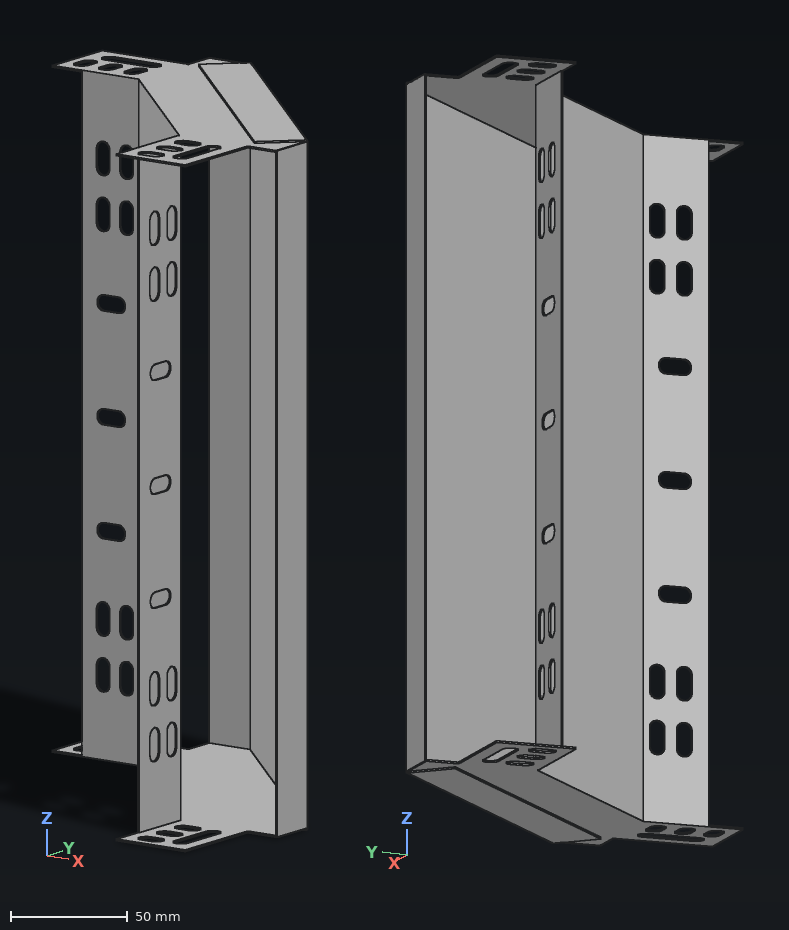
import cadquery as cq
import math

SHEET = 0.75
HEIGHT = 303.2
SPAN = 176.2
BEND = 42.5
TAB_INNER = 36.0
TAB_OUTER = 72.5
FLANGE_LENGTH = 30.0
COVER_CORNER = 20.3
LIP_DEPTH = 23.0
LIP_RISE = 0.05

SLOT_WIDTH = 7.0
LONG_SLOT_LENGTH = 30.0
LONG_SLOT_X = -65.0
LONG_SLOT_Y = 62.0
SHORT_SLOT_LENGTH = 12.0
SHORT_SLOT_MIDDLE_X = -66.0
SHORT_SLOT_PITCH = 13.3
SHORT_SLOT_Y = 48.2
FLANGE_SLOT_LENGTH = 15.0
UPRIGHT_SLOT_XS = (-61.2, -48.8)
UPRIGHT_SLOT_ZS = (88.8, 113.5)
CROSS_SLOT_X = -57.0
CROSS_SLOT_PITCH = 50.0

HALF_SPAN = SPAN / 2
PLATE_TOP = HEIGHT / 2 - SHEET - LIP_RISE
MITRE = SHEET * math.tan(math.radians(45) / 2)
COVER_INSIDE = HALF_SPAN - SHEET
COVER_INSIDE_CORNER = COVER_CORNER + MITRE
COVER_DISTANCE = (HALF_SPAN - COVER_CORNER) / math.sqrt(2)
LIP_LENGTH = (HALF_SPAN + COVER_CORNER) * math.sqrt(2)

DIAGONAL = (1, -1, 0)


def with_mirror_path(points):
    """Complete an outline whose second half mirrors the first across x = y."""
    return points + [(y, x) for x, y in reversed(points)]


def prism(points, bottom, top):
    """Solid between two heights with the given closed outline."""
    return cq.Workplane("XY").workplane(offset=bottom).polyline(points).close().extrude(top - bottom)


def bent_wall(face, back):
    """Full-height wall between the two faces of a bent sheet."""
    outline = with_mirror_path(face) + with_mirror_path(back)[::-1]
    return prism(outline, -PLATE_TOP, PLATE_TOP)


def inner_wall():
    flange_end = -BEND - FLANGE_LENGTH
    return bent_wall(
        [(flange_end, TAB_INNER), (-BEND, TAB_INNER)],
        [(flange_end, TAB_INNER + SHEET), (-BEND + MITRE, TAB_INNER + SHEET)],
    )


def tabbed_plate(bottom):
    """Plate whose two tabs run past the ends of the cover."""
    inner_edge = with_mirror_path([(-HALF_SPAN, TAB_INNER), (-BEND, TAB_INNER)])
    outer_edge = with_mirror_path([
        (-HALF_SPAN, TAB_OUTER),
        (-BEND, TAB_OUTER),
        (-BEND, COVER_INSIDE),
        (-COVER_INSIDE_CORNER, COVER_INSIDE),
    ])
    return prism(inner_edge + outer_edge[::-1], bottom, bottom + SHEET)


def tab_slots():
    """Cutters for one long and three short slots, through both left tabs."""
    short_centres = [(SHORT_SLOT_MIDDLE_X + i * SHORT_SLOT_PITCH, SHORT_SLOT_Y) for i in (-1, 0, 1)]
    return (
        cq.Workplane("XY")
        .pushPoints([(LONG_SLOT_X, LONG_SLOT_Y)])
        .slot2D(LONG_SLOT_LENGTH, SLOT_WIDTH)
        .pushPoints(short_centres)
        .slot2D(SHORT_SLOT_LENGTH, SLOT_WIDTH, 90)
        .extrude(HEIGHT / 2, both=True)
    )


def flange_slots():
    """Cutters for the upright and crosswise slots of the left flange."""
    upright_centres = [(x, side * z) for x in UPRIGHT_SLOT_XS for z in UPRIGHT_SLOT_ZS for side in (-1, 1)]
    cross_centres = [(CROSS_SLOT_X, i * CROSS_SLOT_PITCH) for i in (-1, 0, 1)]
    return (
        cq.Workplane("XZ", origin=(0, TAB_INNER, 0))
        .pushPoints(upright_centres)
        .slot2D(FLANGE_SLOT_LENGTH, SLOT_WIDTH, 90)
        .pushPoints(cross_centres)
        .slot2D(FLANGE_SLOT_LENGTH, SLOT_WIDTH)
        .extrude(2 * SHEET, both=True)
    )


def make_tray():
    tray = inner_wall()
    for bottom in (-PLATE_TOP, PLATE_TOP - SHEET):
        tray = tray.union(tabbed_plate(bottom))
    for slots in (tab_slots(), flange_slots()):
        tray = tray.cut(slots).cut(slots.mirror(DIAGONAL))
    return tray


def outer_wall():
    return bent_wall(
        [(-BEND, HALF_SPAN), (-COVER_CORNER, HALF_SPAN)],
        [(-BEND, COVER_INSIDE), (-COVER_INSIDE_CORNER, COVER_INSIDE)],
    )


def top_lip():
    """Lip bent in from the sloping wall, rounded outside its bend and rising slightly inwards."""
    root = COVER_DISTANCE - SHEET
    free_edge = COVER_DISTANCE - LIP_DEPTH
    arc_middle = (root + SHEET * math.sqrt(0.5), PLATE_TOP + SHEET * math.sqrt(0.5))
    profile_plane = cq.Plane(origin=(0, 0, 0), xDir=(1, 1, 0), normal=DIAGONAL)
    return (
        cq.Workplane(profile_plane)
        .moveTo(root, PLATE_TOP - SHEET)
        .lineTo(COVER_DISTANCE, PLATE_TOP - SHEET)
        .lineTo(COVER_DISTANCE, PLATE_TOP)
        .threePointArc(arc_middle, (root, PLATE_TOP + SHEET))
        .lineTo(free_edge, PLATE_TOP + SHEET + LIP_RISE)
        .lineTo(free_edge, PLATE_TOP + LIP_RISE)
        .lineTo(root, PLATE_TOP)
        .close()
        .extrude(LIP_LENGTH / 2, both=True)
    )


def make_cover():
    lip = top_lip()
    return outer_wall().union(lip).union(lip.mirror("XY"))


tray = make_tray().solids()
cover = make_cover().solids()

result = cq.Compound.makeCompound([tray.val(), cover.val()])